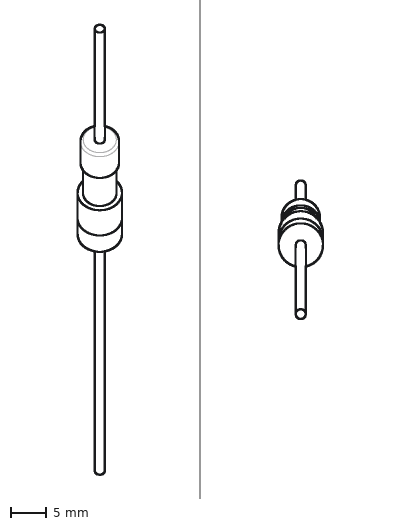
import cadquery as cq

wire_length = 101.6
wire_diameter = 1.4

sleeve_diameter = 6.3
neck_diameter = 4.8
cap_diameter = 5.5
cap_fillet = 0.4

base_bottom = 54.4
base_height = 3.8
sleeve_height = 5.8
neck_height = 6.9
cap_height = 5.3

sleeve_bottom = base_bottom + base_height
neck_bottom = sleeve_bottom + sleeve_height
cap_bottom = neck_bottom + neck_height


def make_cylinder(diameter, height, bottom):
    """Solid cylinder on the Z axis, starting at the given height."""
    return cq.Workplane("XY").workplane(offset=bottom).circle(diameter / 2).extrude(height)


def make_collar(diameter, height, bottom):
    """Cylinder with a through hole that fits the wire."""
    return make_cylinder(diameter, height, bottom).faces(">Z").workplane().hole(wire_diameter)


def make_cap():
    """Top collar with a rounded outer top rim."""
    blank = make_cylinder(cap_diameter, cap_height, cap_bottom)
    rounded = blank.faces(">Z").edges().fillet(cap_fillet)
    return rounded.faces(">Z").workplane().hole(wire_diameter)


wire = make_cylinder(wire_diameter, wire_length, 0)
base = make_collar(sleeve_diameter, base_height, base_bottom)
sleeve = make_collar(sleeve_diameter, sleeve_height, sleeve_bottom)
neck = make_collar(neck_diameter, neck_height, neck_bottom)
cap = make_cap()

result = cq.Compound.makeCompound([wire.val(), base.val(), sleeve.val(), neck.val(), cap.val()])